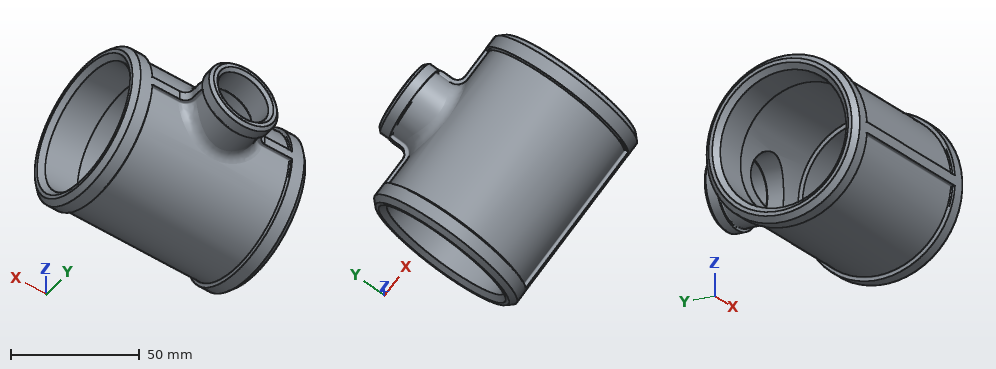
import cadquery as cq
import math

run_length = 83.0
overall_depth = 84.0
run_band_radius = 69.0 / 2
branch_reach = overall_depth - run_band_radius

run_wall_radius = 32.9
run_band_width = 7.9
run_end_chamfer = 2.3

run_thread_radius = 56.6 / 2
run_core_radius = 60.6 / 2
run_thread_depth = 17.8
run_mouth_chamfer = 2.3

branch_band_radius = 33.0 / 2
branch_wall_radius = 15.2
branch_band_width = 5.8
branch_end_chamfer = 1.35

branch_thread_radius = 24.1 / 2
branch_core_radius = 25.1 / 2
branch_thread_depth = 12.0
branch_mouth_chamfer = 1.4

rib_width = 4.45
branch_rib_reach = 16.8
rib_lead_in = 1.85

neck_fillet = 5.0
rib_neck_fillet = 3.6
foot_fillet = 0.5
foot_tolerance = 0.01

half_run = run_length / 2
run_wall_length = run_length - 2 * run_band_width
branch_band_foot = branch_reach - branch_band_width
clearance = 0.8


def cylinder_x(radius, start, length):
    """Cylinder on the run axis, growing from x = start towards +X."""
    return cq.Workplane("YZ", origin=(start, 0, 0)).circle(radius).extrude(length)


def cylinder_y(radius, start, length):
    """Cylinder on the branch axis, growing from y = start towards +Y."""
    return cq.Workplane("XZ", origin=(0, start, 0)).circle(radius).extrude(-length)


def walls():
    """Plain run and branch cylinders blended where they meet."""
    run = cylinder_x(run_wall_radius, -run_wall_length / 2, run_wall_length)
    branch = cylinder_y(branch_wall_radius, 0, branch_band_foot)
    side = branch_wall_radius + clearance
    seam = cq.selectors.BoxSelector(
        (-side, clearance, -side), (side, run_wall_radius + clearance, side)
    )
    return run.union(branch).edges(seam).fillet(neck_fillet)


def run_drum():
    """Chamfered run at band size, recessed to leave end bands and front and back ribs."""
    drum = cylinder_x(run_band_radius, -half_run, run_length)
    drum = drum.faces("<X or >X").chamfer(run_end_chamfer)
    wall = cylinder_x(run_wall_radius, -run_wall_length / 2, run_wall_length)
    recess_radius = run_band_radius + clearance
    recess = cylinder_x(recess_radius, -run_wall_length / 2, run_wall_length).cut(wall)
    rib_slab = cq.Workplane("XY").box(run_wall_length, 2 * (recess_radius + clearance), rib_width)
    return drum.cut(recess.cut(rib_slab))


def branch_band():
    """Raised band at the end of the branch."""
    band = cylinder_y(branch_band_radius, branch_band_foot, branch_band_width)
    return band.faces(">Y").chamfer(branch_end_chamfer)


def branch_ribs():
    """Ribs on both sides of the branch, curving out into the run ribs."""
    arc_end = branch_rib_reach + rib_neck_fillet
    half = (
        cq.Workplane("XY", origin=(0, 0, -rib_width / 2))
        .moveTo(0, 0)
        .lineTo(0, branch_band_foot)
        .lineTo(branch_band_radius, branch_band_foot)
        .lineTo(branch_rib_reach, branch_band_foot - rib_lead_in)
        .lineTo(branch_rib_reach, run_band_radius + rib_neck_fillet)
        .radiusArc((arc_end, run_band_radius), -rib_neck_fillet)
        .lineTo(arc_end, 0)
        .close()
        .extrude(rib_width)
    )
    return half.union(half.mirror("YZ"))


def run_bore():
    """Threaded ends, relieved core and mouth chamfers of the run."""
    core_length = run_length - 2 * run_thread_depth
    bore = cylinder_x(run_thread_radius, -half_run, run_length)
    bore = bore.union(cylinder_x(run_core_radius, -core_length / 2, core_length))
    mouth = (
        cq.Workplane("XY")
        .moveTo(-half_run, 0)
        .lineTo(-half_run, run_thread_radius + run_mouth_chamfer)
        .lineTo(-half_run + run_mouth_chamfer, run_thread_radius)
        .lineTo(-half_run + run_mouth_chamfer, 0)
        .close()
        .revolve(360, (0, 0, 0), (1, 0, 0))
    )
    return bore.union(mouth).union(mouth.mirror("YZ"))


def branch_bore():
    """Threaded end, relieved core and mouth chamfer of the branch."""
    thread_end = branch_reach - branch_thread_depth
    mouth_foot = branch_reach - branch_mouth_chamfer
    return (
        cq.Workplane("XY")
        .moveTo(0, 0)
        .lineTo(branch_core_radius, 0)
        .lineTo(branch_core_radius, thread_end)
        .lineTo(branch_thread_radius, thread_end)
        .lineTo(branch_thread_radius, mouth_foot)
        .lineTo(branch_thread_radius + branch_mouth_chamfer, branch_reach)
        .lineTo(0, branch_reach)
        .close()
        .revolve(360, (0, 0, 0), (0, 1, 0))
    )


def is_foot(edge):
    """True for an edge at the foot of a band or rib, on the run wall or the branch wall."""
    if edge.geomType() == "BSPLINE":
        return False
    middle = edge.positionAt(0.5)
    from_run_axis = math.hypot(middle.y, middle.z)
    from_branch_axis = math.hypot(middle.x, middle.z)
    on_run = math.isclose(from_run_axis, run_wall_radius, abs_tol=foot_tolerance)
    on_branch = math.isclose(from_branch_axis, branch_wall_radius, abs_tol=foot_tolerance)
    return on_run or (on_branch and middle.y > run_wall_radius)


outside = walls().union(run_drum()).union(branch_band()).union(branch_ribs())
outside = outside.edges().filter(is_foot).fillet(foot_fillet)
result = outside.cut(run_bore()).cut(branch_bore())